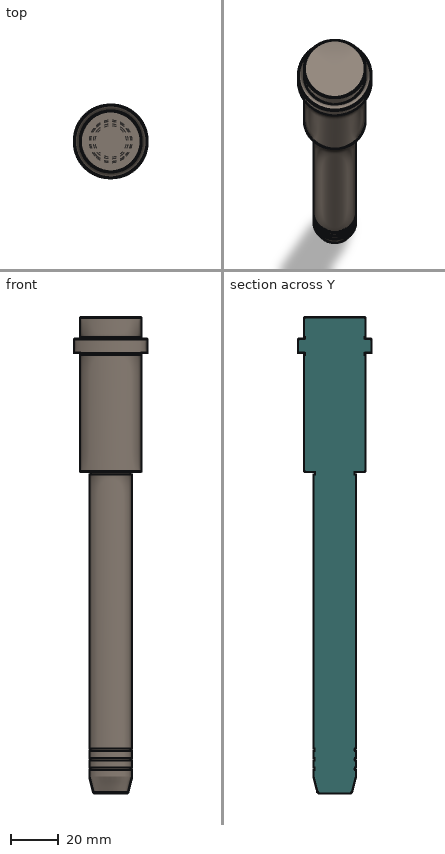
import cadquery as cq

length = 200.0
collar_diameter = 31.0
sleeve_diameter = 26.0
shaft_diameter = 18.0

collar_top = 191.0
collar_thickness = 6.0
sleeve_bottom = 135.0

sleeve_chamfer = 0.5
collar_chamfer = 0.5
relief_radius = 0.5
neck_height = 1.0
neck_depth = 0.5

tip_height = 7.0
tip_diameter = 14.5
tip_chamfer = 0.5
groove_count = 3
first_groove_height = 10.5
groove_pitch = 4.0
groove_radius = 0.5


def cylinder(diameter, bottom, top):
    return cq.Workplane("XY").workplane(offset=bottom).circle(diameter / 2).extrude(top - bottom)


def cut_round_groove(body, diameter, radius, height):
    """Cut a half-round groove, centred at the given height, around a cylinder."""
    ring = cq.Solid.makeTorus(diameter / 2, radius, cq.Vector(0, 0, height))
    return body.cut(cq.Workplane(ring))


tip = (
    cq.Workplane("XY")
    .circle(tip_diameter / 2)
    .workplane(offset=tip_height)
    .circle(shaft_diameter / 2)
    .loft()
    .faces("<Z")
    .chamfer(tip_chamfer)
)
neck_bottom = sleeve_bottom - neck_height
guide = cylinder(shaft_diameter, tip_height, neck_bottom)
neck = cylinder(shaft_diameter - 2 * neck_depth, neck_bottom, sleeve_bottom)
shaft = tip.union(guide).union(neck)

for index in range(groove_count):
    groove_height = first_groove_height + index * groove_pitch
    shaft = cut_round_groove(shaft, shaft_diameter, groove_radius, groove_height)

collar_bottom = collar_top - collar_thickness
sleeve = cylinder(sleeve_diameter, sleeve_bottom, length).faces("<Z or >Z").chamfer(sleeve_chamfer)
for relief_height in (collar_top + relief_radius, collar_bottom - relief_radius):
    sleeve = cut_round_groove(sleeve, sleeve_diameter, relief_radius, relief_height)

collar = cylinder(collar_diameter, collar_bottom, collar_top).faces(">Z").chamfer(collar_chamfer)

result = shaft.union(sleeve).union(collar)